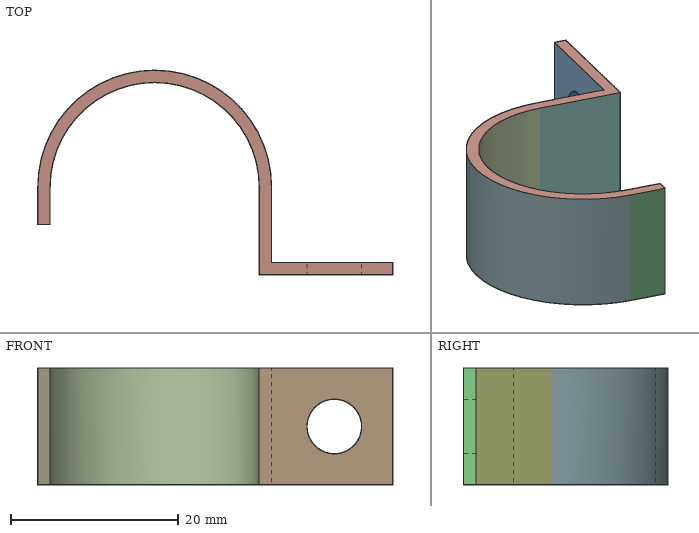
import cadquery as cq

strip_thickness = 1.5
strip_width = 14.0
outer_radius = 14.0
short_leg_length = 4.5
flange_drop = 10.5
flange_tip_x = 28.5
hole_diameter = 6.5
hole_edge_distance = strip_width / 2

inner_radius = outer_radius - strip_thickness
flange_back_y = strip_thickness - flange_drop
hole_x = flange_tip_x - hole_edge_distance


def make_strip():
    """Bent strip: short leg, half-round saddle, long leg and outward flange."""
    return (
        cq.Workplane("XY")
        .moveTo(-outer_radius, -short_leg_length)
        .lineTo(-outer_radius, 0)
        .threePointArc((0, outer_radius), (outer_radius, 0))
        .lineTo(outer_radius, flange_back_y)
        .lineTo(flange_tip_x, flange_back_y)
        .lineTo(flange_tip_x, -flange_drop)
        .lineTo(inner_radius, -flange_drop)
        .lineTo(inner_radius, 0)
        .threePointArc((0, inner_radius), (-inner_radius, 0))
        .lineTo(-inner_radius, -short_leg_length)
        .close()
        .extrude(strip_width)
    )


def make_screw_hole():
    """Cylinder along Y that passes through the flange only."""
    return (
        cq.Workplane("XZ", origin=(hole_x, flange_back_y, strip_width / 2))
        .circle(hole_diameter / 2)
        .extrude(strip_thickness)
    )


result = make_strip().cut(make_screw_hole())